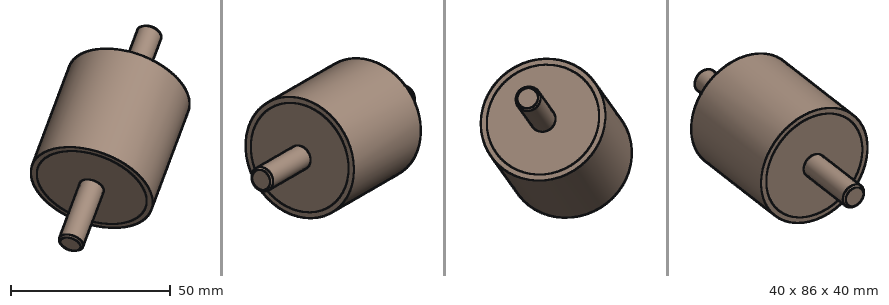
import cadquery as cq

total_length = 86.0
buffer_diameter = 40.0
buffer_length = 40.0

stud_diameter = 8.0
stud_chamfer = 0.7
plate_diameter = 36.0
plate_thickness = 2.0

stud_length = (total_length - buffer_length) / 2
face_offset = buffer_length / 2


def cylinder_along_y(diameter, length, start_y):
    """Cylinder on the Y axis, reaching from start_y towards +Y."""
    return (
        cq.Workplane("XZ", origin=(0, start_y, 0))
        .circle(diameter / 2)
        .extrude(-length)
    )


def make_stud_plate(facing):
    """Round plate with a chamfered stud; facing is +1 for the +Y end, -1 for the -Y end."""
    plate = cylinder_along_y(plate_diameter, plate_thickness, face_offset - plate_thickness)
    stud = cylinder_along_y(stud_diameter, stud_length, face_offset)
    stud = stud.faces(">Y").chamfer(stud_chamfer)
    fitting = plate.union(stud)
    return fitting if facing > 0 else fitting.mirror("XZ")


def make_rubber_buffer():
    """Cylindrical buffer with a shallow recess for the plate in each end."""
    buffer = cylinder_along_y(buffer_diameter, buffer_length, -face_offset)
    for recess_start in (-face_offset, face_offset - plate_thickness):
        buffer = buffer.cut(cylinder_along_y(plate_diameter, plate_thickness, recess_start))
    return buffer


rubber_buffer = make_rubber_buffer()
stud_plates = [make_stud_plate(facing) for facing in (-1, 1)]

result = cq.Compound.makeCompound(
    [rubber_buffer.val(), *[stud_plate.val() for stud_plate in stud_plates]]
)